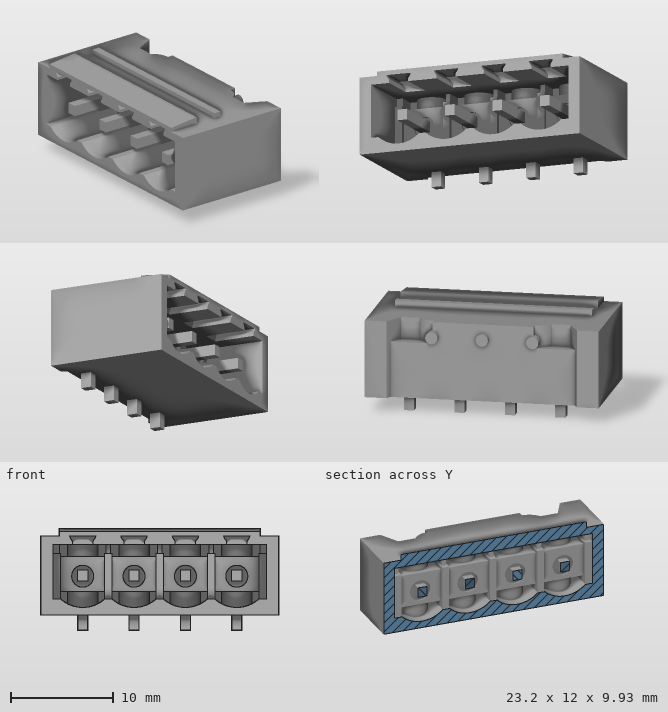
import cadquery as cq

PITCH = 5.0
WAYS = 4
WIDTH = 23.2
DEPTH = 12.0
HEIGHT = 7.7
MID_HEIGHT = HEIGHT / 2

RIDGE_LENGTH = 19.55
RIDGE_FRONT = 5.27
RIDGE_BACK = 6.0
RIDGE_RISE = 0.6
LIP_DEPTH = 3.1
LIP_CREST = 2.8
LIP_FRONT_RISE = 0.45
LIP_RISE = 0.75

CAVITY_WIDTH = 20.79
CAVITY_FLOOR = 1.58
CAVITY_TOP = HEIGHT - 0.81
CAVITY_DEPTH = 6.03
UPPER_CAVITY_DEPTH = 6.5
SCOOP_WIDTH = 4.3
SCOOP_BOTTOM = 0.75

BAY_DEPTH = 8.45
BAY_SHOULDER = 6.0
BAY_TOP_WIDTH = 4.55
COLUMN_RADIUS = 1.48
BLOCK_FRONT = 6.5
BLOCK_HEIGHT = 3.39
BLOCK_CENTER = 4.0
RECESS_RADIUS = 1.07
RECESS_CENTER = 3.78
RECESS_DEPTH = 0.23

SLOT_DEPTH = 4.15
SLOT_TOP_WIDTH = 2.5
SLOT_NECK_WIDTH = 2.0
SLOT_RIM = 0.15
SLOT_FLARE = 0.5

REAR_WALL = 11.41
NOTCH_FLOOR = 5.57
EAR_HALF_GAP = 9.45
NOTCH_OUTER = 8.4
NOTCH_INNER = 6.6
NOTCH_FRONT = 9.95
NOTCH_ARC_TOP = 10.8
PEG_RADIUS = 0.6
PEG_HEIGHT = 6.22

PIN_WIDTH = 1.0
PIN_THICKNESS = 1.07
PIN_TIP = 0.95
PIN_BACK = 10.53
PIN_DROP = 1.48

CONTACT_XS = [(i - (WAYS - 1) / 2) * PITCH for i in range(WAYS)]
PEG_XS = [(i - (WAYS - 2) / 2) * PITCH for i in range(WAYS - 1)]


def block(width, y_front, y_back, z_low, z_high, x=0.0):
    """Box centred on x, spanning the given Y and Z ranges."""
    size = (width, y_back - y_front, z_high - z_low)
    return cq.Workplane("XY").box(*size, centered=(True, False, False)).translate((x, y_front, z_low))


def rod(radius, y_front, y_back, x, z):
    """Cylinder lying along Y."""
    return cq.Workplane("XZ", origin=(x, y_front, z)).circle(radius).extrude(y_front - y_back)


def scoop(x, depth):
    """Space under the cavity floor: a segment of a circle, run back to the given depth."""
    return (
        cq.Workplane("XZ", origin=(x, 0, 0))
        .moveTo(-SCOOP_WIDTH / 2, CAVITY_FLOOR)
        .threePointArc((0, SCOOP_BOTTOM), (SCOOP_WIDTH / 2, CAVITY_FLOOR))
        .close()
        .extrude(-depth)
    )


def lip():
    """Latch lip, highest near its back and sloping down towards the mating face."""
    return (
        cq.Workplane("YZ", origin=(-RIDGE_LENGTH / 2, 0, HEIGHT))
        .polyline([
            (0, 0),
            (0, LIP_FRONT_RISE),
            (LIP_CREST, LIP_RISE),
            (LIP_DEPTH, LIP_RISE),
            (LIP_DEPTH, 0),
        ])
        .close()
        .extrude(RIDGE_LENGTH)
    )


def bay(x):
    """Empty space of one contact bay: stepped sides, scooped floor, less its column and cross block."""
    space = block(SCOOP_WIDTH, 0, BAY_DEPTH, CAVITY_FLOOR, BAY_SHOULDER, x)
    space = space.union(block(BAY_TOP_WIDTH, 0, BAY_DEPTH, BAY_SHOULDER, CAVITY_TOP, x))
    space = space.union(scoop(x, BAY_DEPTH))
    column = cq.Workplane("XY", origin=(x, BAY_DEPTH, 0)).circle(COLUMN_RADIUS).extrude(HEIGHT)
    block_low = BLOCK_CENTER - BLOCK_HEIGHT / 2
    cross_block = block(BAY_TOP_WIDTH, BLOCK_FRONT, BAY_DEPTH, block_low, block_low + BLOCK_HEIGHT, x)
    recess = rod(RECESS_RADIUS, BLOCK_FRONT, BLOCK_FRONT + RECESS_DEPTH, x, RECESS_CENTER)
    return space.cut(column).cut(cross_block).union(recess)


def keying_slot(x):
    """Roof slot that flares from a narrow neck to a wider rim at the top face."""
    rim = SLOT_TOP_WIDTH / 2
    neck = SLOT_NECK_WIDTH / 2
    return (
        cq.Workplane("XZ", origin=(x, 0, 0))
        .polyline([
            (-rim, HEIGHT),
            (-rim, HEIGHT - SLOT_RIM),
            (-neck, HEIGHT - SLOT_FLARE),
            (-neck, CAVITY_TOP),
            (neck, CAVITY_TOP),
            (neck, HEIGHT - SLOT_FLARE),
            (rim, HEIGHT - SLOT_RIM),
            (rim, HEIGHT),
        ])
        .close()
        .extrude(-SLOT_DEPTH)
    )


def ear_gap():
    """Full-height space behind the recessed rear wall, with sides sloped to match the notches."""
    slope = (EAR_HALF_GAP - NOTCH_OUTER) / (DEPTH - NOTCH_FRONT)
    wall_half = EAR_HALF_GAP - slope * (DEPTH - REAR_WALL)
    return (
        cq.Workplane("XY")
        .polyline([
            (-EAR_HALF_GAP, DEPTH),
            (-wall_half, REAR_WALL),
            (wall_half, REAR_WALL),
            (EAR_HALF_GAP, DEPTH),
        ])
        .close()
        .extrude(HEIGHT)
    )


def rear_notch():
    """Upper notch beside the left ear, ending in an arc that is level at the outer peg's axis."""
    arc_end = PEG_XS[0]
    run = arc_end + NOTCH_INNER
    rise = NOTCH_ARC_TOP - NOTCH_FRONT
    arc_radius = (run**2 + rise**2) / (2 * rise)
    return (
        cq.Workplane("XY", origin=(0, 0, NOTCH_FLOOR))
        .moveTo(-EAR_HALF_GAP, DEPTH)
        .lineTo(-NOTCH_OUTER, NOTCH_FRONT)
        .lineTo(-NOTCH_INNER, NOTCH_FRONT)
        .radiusArc((arc_end, NOTCH_ARC_TOP), arc_radius)
        .lineTo(arc_end, DEPTH)
        .close()
        .extrude(HEIGHT - NOTCH_FLOOR)
    )


def pin(x):
    """Right-angle contact of rectangular section: a straight tongue and a leg through the base."""
    low = MID_HEIGHT - PIN_THICKNESS / 2
    high = MID_HEIGHT + PIN_THICKNESS / 2
    tongue = block(PIN_WIDTH, PIN_TIP, PIN_BACK, low, high, x)
    leg = block(PIN_WIDTH, PIN_BACK - PIN_THICKNESS, PIN_BACK, -PIN_DROP, high, x)
    return tongue.union(leg)


def housing(pins):
    """Insulating shell with a matching passage for every pin."""
    body = block(WIDTH, 0, DEPTH, 0, HEIGHT)

    body = body.cut(block(CAVITY_WIDTH, 0, CAVITY_DEPTH, CAVITY_FLOOR, CAVITY_TOP))
    body = body.cut(block(CAVITY_WIDTH, 0, UPPER_CAVITY_DEPTH, BAY_SHOULDER, CAVITY_TOP))

    for x in CONTACT_XS:
        body = body.cut(bay(x)).cut(keying_slot(x))

    notch = rear_notch()
    body = body.cut(ear_gap()).cut(notch).cut(notch.mirror("YZ"))
    for x in PEG_XS:
        body = body.union(rod(PEG_RADIUS, NOTCH_FRONT, DEPTH, x, PEG_HEIGHT))

    body = body.union(block(RIDGE_LENGTH, RIDGE_FRONT, RIDGE_BACK, HEIGHT, HEIGHT + RIDGE_RISE))
    body = body.union(lip())

    for contact in pins:
        body = body.cut(contact)
    return body


pins = [pin(x) for x in CONTACT_XS]
shell = housing(pins)
result = cq.Compound.makeCompound([shell.val(), *[contact.val() for contact in pins]])